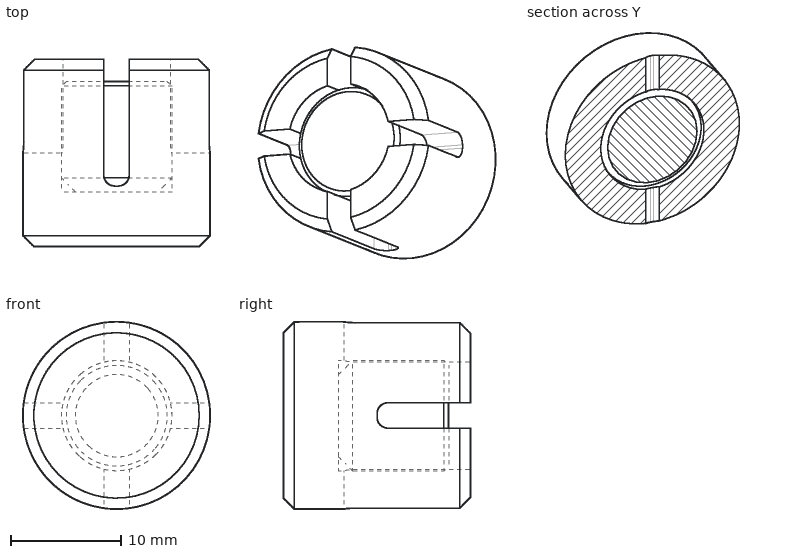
import cadquery as cq

cap_diameter = 17.0
cap_length = 17.0
cap_chamfer = 1.0

slot_width = 2.3
slot_corner_radius = 1.0
vertical_slot_length = 11.5
horizontal_slot_length = 8.5

screw_diameter = 10.0
screw_length = 10.0
screw_recess = 2.0
screw_back_chamfer = 0.425
screw_tip_chamfer = 1.25

front_y = -cap_length / 2
back_y = cap_length / 2
screw_back_y = back_y - screw_recess
screw_tip_y = screw_back_y - screw_length


def cylinder_along_y(diameter, start_y, end_y):
    """Cylinder on the Y axis from start_y to end_y."""
    return (
        cq.Workplane("XZ", origin=(0, start_y, 0))
        .circle(diameter / 2)
        .extrude(start_y - end_y)
    )


def make_slot(length):
    """Slot cutter through the cap along Z, with a rounded inner end, open at the back face."""
    return (
        cq.Workplane("XY", origin=(0, back_y - length / 2, 0))
        .box(slot_width, length, cap_diameter)
        .faces("<Y")
        .edges("|Z")
        .fillet(slot_corner_radius)
    )


def make_cap():
    """Chamfered cap with a blind bore and two crossing slots."""
    blank = cylinder_along_y(cap_diameter, front_y, back_y)
    blank = blank.faces("<Y or >Y").chamfer(cap_chamfer)
    bore = cylinder_along_y(screw_diameter, screw_tip_y, back_y)
    vertical_slot = make_slot(vertical_slot_length)
    horizontal_slot = make_slot(horizontal_slot_length).rotate((0, 0, 0), (0, 1, 0), 90)
    return blank.cut(bore).cut(vertical_slot).cut(horizontal_slot)


def make_screw():
    """Plain cylindrical screw body with 45 degree chamfers at its back edge and its tip."""
    blank = cylinder_along_y(screw_diameter, screw_tip_y, screw_back_y)
    return blank.faces(">Y").chamfer(screw_back_chamfer).faces("<Y").chamfer(screw_tip_chamfer)


cap = make_cap()
screw = make_screw()

result = cq.Compound.makeCompound([cap.val(), screw.val()])